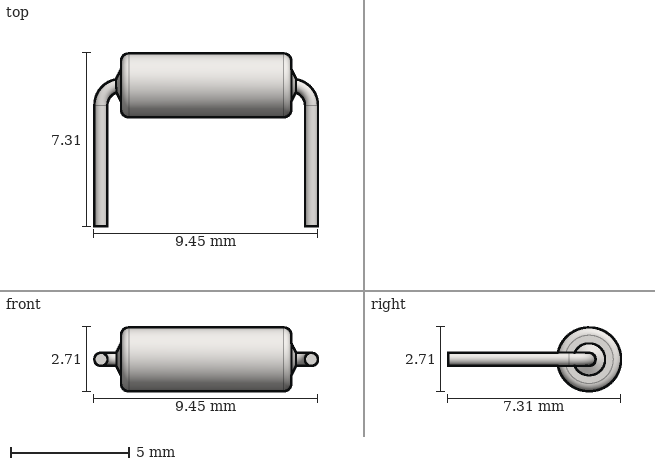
import cadquery as cq
import math

MID_ARC = math.sin(math.radians(45))

body_diameter = 2.71
body_length = 7.2
edge_radius = 0.335
lead_diameter = 0.56
lead_pitch = 8.89
lead_reach = 5.955
cone_base_diameter = body_diameter / 2
cone_height = 0.2

body_radius = body_diameter / 2
body_end = body_length / 2
cone_tip = body_end + cone_height
cone_base_radius = cone_base_diameter / 2
lead_radius = lead_diameter / 2
lead_x = lead_pitch / 2
bend_radius = lead_x - body_end
lead_root = body_end - edge_radius


def make_body():
    """Round body with rounded rims and a cone on each end."""
    rim_radius = body_radius - edge_radius
    rim_start = body_end - edge_radius
    arc_offset = edge_radius * MID_ARC
    arc_x = rim_start + arc_offset
    arc_y = rim_radius + arc_offset
    profile = (
        cq.Workplane("XY")
        .moveTo(-cone_tip, 0)
        .lineTo(-cone_tip, lead_radius)
        .lineTo(-body_end, cone_base_radius)
        .lineTo(-body_end, rim_radius)
        .threePointArc((-arc_x, arc_y), (-rim_start, body_radius))
        .lineTo(rim_start, body_radius)
        .threePointArc((arc_x, arc_y), (body_end, rim_radius))
        .lineTo(body_end, cone_base_radius)
        .lineTo(cone_tip, lead_radius)
        .lineTo(cone_tip, 0)
        .close()
    )
    return profile.revolve(axisStart=(0, 0, 0), axisEnd=(1, 0, 0))


def make_right_lead():
    """Round wire leaving the +X end and turning a quarter circle toward -Y."""
    arc_offset = bend_radius * MID_ARC
    path = (
        cq.Workplane("XY")
        .moveTo(lead_root, 0)
        .lineTo(body_end, 0)
        .threePointArc(
            (body_end + arc_offset, arc_offset - bend_radius),
            (lead_x, -bend_radius),
        )
        .lineTo(lead_x, -lead_reach)
    )
    section = cq.Workplane("YZ", origin=(lead_root, 0, 0)).circle(lead_radius)
    return section.sweep(path)


right_lead = make_right_lead()
left_lead = right_lead.mirror("YZ")
result = make_body().union(right_lead).union(left_lead)